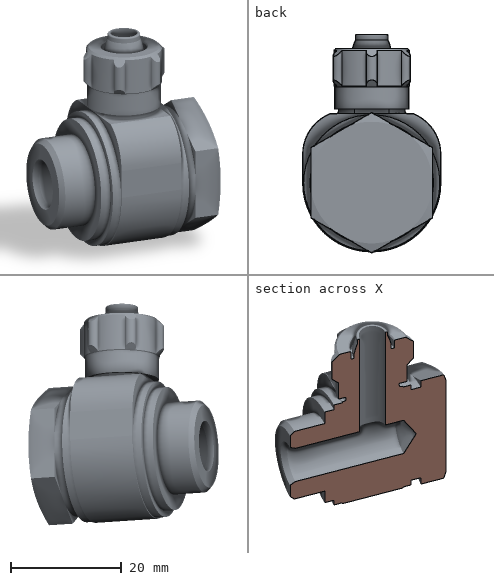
import cadquery as cq
import math

head_end_y = 14.3
head_length = 5.0
head_across_flats = 22.0
head_chamfer_height = 0.5
head_chamfer_radius = 11.0
collar_diameter = 22.3
collar_half_length = 9.3
washer_diameter = 24.6
washer_half_length = 7.5
stud_diameter = 16.66
stud_end_y = -16.0
stud_chamfer = 0.85
bore_diameter = 8.0
bore_chamfer_width = 0.6
bore_chamfer_depth = bore_chamfer_width * math.sqrt(3)
bore_full_depth = 22.0
drill_point_angle = 118.0

body_length = 11.8
body_radius = 12.5
body_corner_radius = 8.0
body_top_half_width = 7.5

body_top_z = body_radius
neck_diameter = 12.1
neck_across_flats = 10.4
neck_foot_radius = 0.4

nut_bottom_z = 13.3
nut_step_z = 17.35
nut_top_z = 24.3
sleeve_diameter = 13.4
nut_diameter = 13.7
nut_top_radius = 6.45
nut_hole_diameter = 8.3
nut_hole_chamfer = 0.2
nut_hole_floor_z = 22.4
rib_radius = 1.0
rib_center_radius = 6.92
rib_count = 6
rib_tip_radius = rib_center_radius + rib_radius

nozzle_top_z = 26.8
nozzle_tip_diameter = 5.9
nozzle_tip_length = 1.0
nozzle_root_diameter = 7.3
nozzle_root_z = 23.4
nozzle_bulge = 0.1
nozzle_bore_diameter = 4.9
nozzle_rim_fillet = 0.25


def cylinder_y(diameter, y_start, y_end):
    """Cylinder about the Y axis between two Y positions."""
    length = y_end - y_start
    return cq.Workplane("XZ", origin=(0, y_end, 0)).circle(diameter / 2).extrude(length)


def cylinder_z(diameter, z_start, z_end):
    """Cylinder about the Z axis between two heights."""
    return cq.Workplane("XY").workplane(offset=z_start).circle(diameter / 2).extrude(z_end - z_start)


def make_bolt_head():
    """Hexagon with corners at top and bottom, its outer end chamfered by a cone."""
    corner_radius = head_across_flats / math.sqrt(3)
    head_start_y = head_end_y - head_length
    hexagon = (
        cq.Workplane("XZ", origin=(0, head_end_y, 0))
        .transformed(rotate=(0, 0, 90))
        .polygon(6, 2 * corner_radius)
        .extrude(head_length)
    )
    envelope = (
        cq.Workplane("XY")
        .moveTo(0, head_start_y)
        .lineTo(corner_radius, head_start_y)
        .lineTo(corner_radius, head_end_y - head_chamfer_height)
        .lineTo(head_chamfer_radius, head_end_y)
        .lineTo(0, head_end_y)
        .close()
        .revolve(360, (0, 0, 0), (0, 1, 0))
    )
    return hexagon.intersect(envelope)


def make_bolt():
    """Head, collar, sealing washers and chamfered stud."""
    collar = cylinder_y(collar_diameter, -collar_half_length, collar_half_length)
    washers = cylinder_y(washer_diameter, -washer_half_length, washer_half_length)
    stud = cylinder_y(stud_diameter, stud_end_y, 0).faces("<Y").chamfer(stud_chamfer)
    return make_bolt_head().union(collar).union(washers).union(stud)


def make_body():
    """Round-bottomed block with a flat top and arcs tangent to its upright sides."""
    arc_center_x = body_radius - body_corner_radius
    arc_rise = math.sqrt(body_corner_radius**2 - (body_top_half_width - arc_center_x) ** 2)
    arc_center_z = body_top_z - arc_rise
    mid_angle = math.atan2(arc_rise, body_top_half_width - arc_center_x) / 2
    arc_mid_x = arc_center_x + body_corner_radius * math.cos(mid_angle)
    arc_mid_z = arc_center_z + body_corner_radius * math.sin(mid_angle)
    return (
        cq.Workplane("XZ")
        .moveTo(-body_radius, 0)
        .threePointArc((0, -body_radius), (body_radius, 0))
        .lineTo(body_radius, arc_center_z)
        .threePointArc((arc_mid_x, arc_mid_z), (body_top_half_width, body_top_z))
        .lineTo(-body_top_half_width, body_top_z)
        .threePointArc((-arc_mid_x, arc_mid_z), (-body_radius, arc_center_z))
        .close()
        .extrude(body_length / 2, both=True)
    )


def make_body_with_neck():
    """Body with a round neck flattened on its two Y sides and a fillet around its foot."""
    neck = cylinder_z(neck_diameter, 0, nut_bottom_z).intersect(
        cq.Workplane("XY").box(neck_diameter, neck_across_flats, 2 * nut_bottom_z)
    )
    reach_x = neck_diameter / 2 + neck_foot_radius
    reach_y = neck_across_flats / 2 + neck_foot_radius
    foot = cq.selectors.BoxSelector(
        (-reach_x, -reach_y, body_top_z - neck_foot_radius / 2),
        (reach_x, reach_y, body_top_z + neck_foot_radius / 2),
    )
    foot_edges = make_body().union(neck).edges(foot)
    return foot_edges.fillet(neck_foot_radius)


def make_nut():
    """Sleeve and ribbed grip; cones at 45 degrees trim both ends of the grip."""
    sleeve = cylinder_z(sleeve_diameter, nut_bottom_z, nut_step_z)
    grip = cylinder_z(nut_diameter, nut_step_z, nut_top_z)
    ribs = (
        cq.Workplane("XY")
        .workplane(offset=nut_step_z)
        .polarArray(rib_center_radius, 90, 360, rib_count)
        .circle(rib_radius)
        .extrude(nut_top_z - nut_step_z)
    )
    sleeve_radius = sleeve_diameter / 2
    envelope = (
        cq.Workplane("XZ")
        .moveTo(0, nut_step_z)
        .lineTo(sleeve_radius, nut_step_z)
        .lineTo(rib_tip_radius, nut_step_z + rib_tip_radius - sleeve_radius)
        .lineTo(rib_tip_radius, nut_top_z - (rib_tip_radius - nut_top_radius))
        .lineTo(nut_top_radius, nut_top_z)
        .lineTo(0, nut_top_z)
        .close()
        .revolve(360, (0, 0, 0), (0, 1, 0))
    )
    hole = cylinder_z(nut_hole_diameter, nut_hole_floor_z, nut_top_z)
    nut = sleeve.union(grip.union(ribs).intersect(envelope)).cut(hole)
    hole_rim = cq.selectors.RadiusNthSelector(0)
    return nut.faces(">Z").edges(hole_rim).chamfer(nut_hole_chamfer)


def make_nozzle():
    """Nozzle with a straight root, a bulging taper, a short straight tip and a rounded rim."""
    tip_radius = nozzle_tip_diameter / 2
    root_radius = nozzle_root_diameter / 2
    taper_top_z = nozzle_top_z - nozzle_tip_length
    taper_length = taper_top_z - nozzle_root_z
    taper_root = cq.Vector(root_radius, nozzle_root_z)
    taper_top = cq.Vector(tip_radius, taper_top_z)
    outward = cq.Vector(taper_length, root_radius - tip_radius).normalized()
    taper_middle = (taper_root + taper_top) / 2 + outward * nozzle_bulge
    nozzle = (
        cq.Workplane("XZ")
        .moveTo(0, nut_hole_floor_z)
        .lineTo(root_radius, nut_hole_floor_z)
        .lineTo(root_radius, nozzle_root_z)
        .threePointArc(taper_middle.toTuple()[:2], taper_top.toTuple()[:2])
        .lineTo(tip_radius, nozzle_top_z)
        .lineTo(0, nozzle_top_z)
        .close()
        .revolve(360, (0, 0, 0), (0, 1, 0))
    )
    return nozzle.faces(">Z").edges().fillet(nozzle_rim_fillet)


def make_bolt_bore():
    """Blind bore from the stud end, with a chamfered mouth and a conical drill point."""
    radius = bore_diameter / 2
    floor_y = stud_end_y + bore_full_depth
    point_length = radius / math.tan(math.radians(drill_point_angle / 2))
    return (
        cq.Workplane("XY")
        .moveTo(0, stud_end_y)
        .lineTo(radius + bore_chamfer_width, stud_end_y)
        .lineTo(radius, stud_end_y + bore_chamfer_depth)
        .lineTo(radius, floor_y)
        .lineTo(0, floor_y + point_length)
        .close()
        .revolve(360, (0, 0, 0), (0, 1, 0))
    )


nozzle_bore = cylinder_z(nozzle_bore_diameter, 0, nozzle_top_z)

result = (
    make_bolt()
    .union(make_body_with_neck())
    .union(make_nut())
    .union(make_nozzle())
    .cut(make_bolt_bore())
    .cut(nozzle_bore)
)